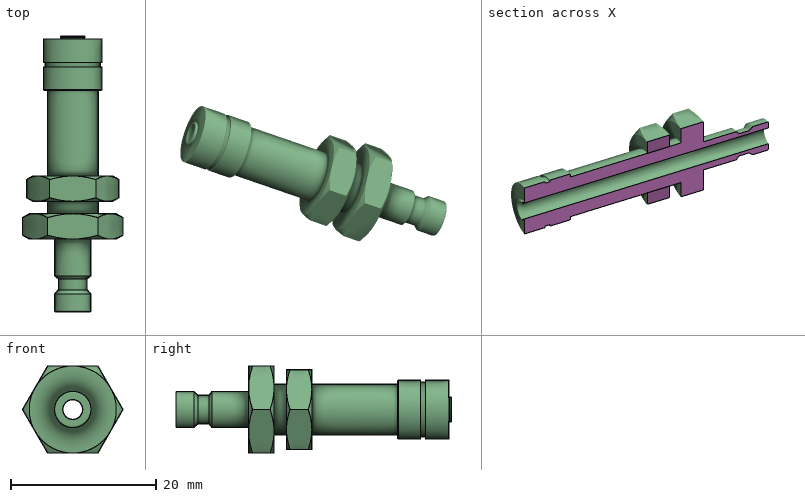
import cadquery as cq
import math

total_length = 38.0
bore_diameter = 2.7

nipple_diameter = 5.0
tip_fillet = 0.23
neck_diameter = 4.0
neck_front = 3.05
neck_back = 4.55
neck_front_flare = 0.57
neck_back_flare = 0.4

barrel_diameter = 7.03
hex_height = 3.5
flange_across_flats = 12.0
flange_front = 10.05
hex_chamfer_angle = 30.0

nut_across_flats = 11.02
nut_front = 15.25

collar_diameter = 8.15
collar_front = 30.5
collar_chamfer = 0.15
collar_groove_diameter = 7.6
collar_groove_front = 33.75
collar_groove_back = 34.4

lip_diameter = 3.42
lip_stem_diameter = 3.2
lip_height = 0.38
lip_rim_thickness = 0.2
lip_fillet = 0.15


def turned(profile):
    """Revolve (radius, y) points, closed along the Y axis."""
    axis_start = (0, profile[0][1])
    axis_end = (0, profile[-1][1])
    outline = cq.Workplane("XY").polyline([axis_start, *profile, axis_end]).close()
    return outline.revolve(360, (0, 0, 0), (0, 1, 0))


def cylinder(diameter, front, back):
    return turned([(diameter / 2, front), (diameter / 2, back)])


def chamfered_hexagon(across_flats, front):
    """Hexagon with corners on X, its corners turned back by cones at both ends."""
    flat_radius = across_flats / 2
    corner_radius = flat_radius / math.cos(math.radians(30))
    cone_length = (corner_radius - flat_radius) * math.tan(math.radians(hex_chamfer_angle))
    back = front + hex_height
    prism = (
        cq.Workplane("XZ", origin=(0, front, 0))
        .polygon(6, 2 * corner_radius)
        .extrude(-hex_height)
    )
    envelope = turned([
        (flat_radius, front),
        (corner_radius, front + cone_length),
        (corner_radius, back - cone_length),
        (flat_radius, back),
    ])
    return prism.intersect(envelope)


def make_nipple():
    radius = nipple_diameter / 2
    neck_radius = neck_diameter / 2
    return turned([
        (radius, 0),
        (radius, neck_front - neck_front_flare),
        (neck_radius, neck_front),
        (neck_radius, neck_back),
        (radius, neck_back + neck_back_flare),
        (radius, flange_front),
    ]).faces("<Y").edges().fillet(tip_fillet)


def make_collar():
    radius = collar_diameter / 2
    groove_radius = collar_groove_diameter / 2
    return turned([
        (radius - collar_chamfer, collar_front),
        (radius, collar_front + collar_chamfer),
        (radius, collar_groove_front),
        (groove_radius, collar_groove_front),
        (groove_radius, collar_groove_back),
        (radius, collar_groove_back),
        (radius, total_length - lip_height),
    ])


def make_lip():
    rim_front = total_length - lip_rim_thickness
    rim = cylinder(lip_diameter, rim_front, total_length)
    rim = rim.faces(">Y").edges().fillet(lip_fillet)
    stem = cylinder(lip_stem_diameter, total_length - lip_height, rim_front)
    return stem.union(rim)


def make_body():
    return (
        make_nipple()
        .union(chamfered_hexagon(flange_across_flats, flange_front))
        .union(cylinder(barrel_diameter, flange_front, collar_front))
        .union(make_collar())
        .union(make_lip())
        .cut(cylinder(bore_diameter, 0, total_length))
    )


def make_lock_nut():
    nut_hole = cylinder(barrel_diameter, nut_front, nut_front + hex_height)
    return chamfered_hexagon(nut_across_flats, nut_front).cut(nut_hole)


body = make_body()
lock_nut = make_lock_nut()

result = cq.Compound.makeCompound([body.val(), lock_nut.val()])